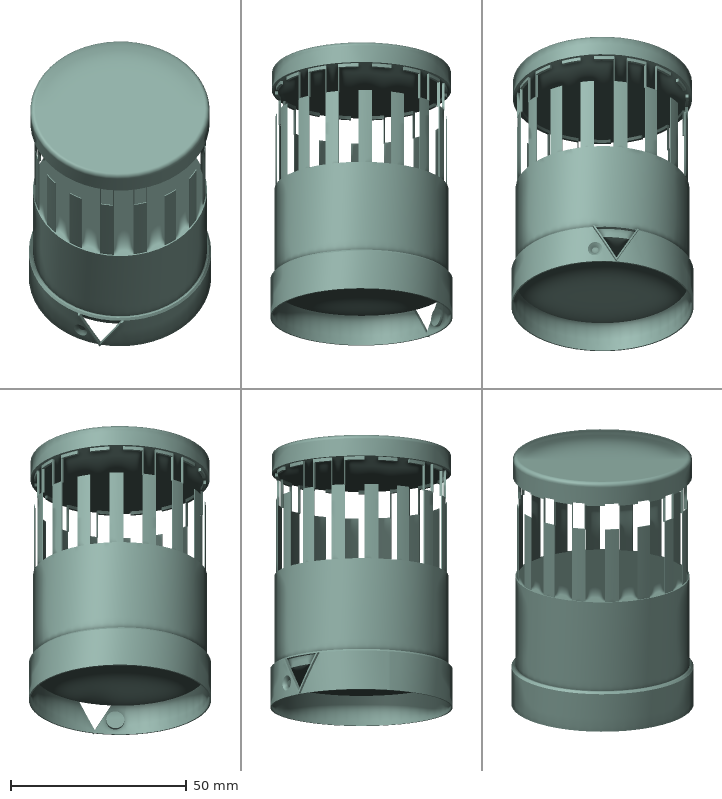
import cadquery as cq
import math

TOTAL_HEIGHT = 74.3
BASE_TOP = 11.8
BODY_TOP = 38.35
SLAT_TOP = 60.0
TOOTH_BOTTOM = 67.1
CAP_BOTTOM = 68.05

BASE_RADIUS = 26.0
BODY_RADIUS = 24.8
CAP_RADIUS = 25.55
SLAT_OUTER_RADIUS = 24.45
SLAT_INNER_RADIUS = 24.2
RIM_OUTER_RADIUS = 24.6
RIM_INNER_RADIUS = 23.8

BASE_CHAMFER = 0.6
CAP_FILLET = 1.3

SKIRT_INNER_RADIUS = 25.55
BODY_BOTTOM = 8.55

SLAT_COUNT = 16
SLAT_PITCH = 360 / SLAT_COUNT
SLAT_WIDTH = 3.95
BAR_THICKNESS = 0.15
OVERLAP = 0.2

MARKER_ANGLE = -60.0
MARKER_HEIGHT = BASE_TOP - BASE_CHAMFER
MARKER_HALF_WIDTH = 6.6
MARKER_RADIUS = 26.75
MARKER_ARM = 0.45

DIMPLE_ANGLE = -73.2
DIMPLE_Z = 4.1
DIMPLE_RADIUS = 2.15
DIMPLE_FLOOR_RADIUS = 1.0
DIMPLE_DEPTH = 1.0
DIMPLE_BACKING = 0.45


def cylinder(radius, bottom, top):
    return cq.Workplane("XY").workplane(offset=bottom).circle(radius).extrude(top - bottom)


def ring(outer, inner, bottom, top):
    return cylinder(outer, bottom, top).cut(cylinder(inner, bottom, top))


def radial_block(angle, width, bottom, top, offset=0.0):
    """Block reaching outward from the axis, with an optional sideways offset."""
    block = cq.Workplane("XY").box(BASE_RADIUS, width, top - bottom, centered=(False, True, False))
    return block.translate((0, offset, bottom)).rotate((0, 0, 0), (0, 0, 1), angle)


def slat_angles():
    return [(index + 0.5) * SLAT_PITCH for index in range(SLAT_COUNT)]


def make_base():
    return cylinder(BASE_RADIUS, 0, BASE_TOP).faces(">Z").edges().chamfer(BASE_CHAMFER)


def make_cap():
    return cylinder(CAP_RADIUS, CAP_BOTTOM, TOTAL_HEIGHT).faces(">Z").edges().fillet(CAP_FILLET)


def make_slats():
    bottom = BODY_TOP - OVERLAP
    wall = ring(SLAT_OUTER_RADIUS, SLAT_INNER_RADIUS, bottom, SLAT_TOP)
    blocks = cq.Workplane("XY")
    for angle in slat_angles():
        blocks = blocks.add(radial_block(angle, SLAT_WIDTH, bottom, SLAT_TOP))
    return wall.intersect(blocks.combine())


def make_teeth():
    """Short rim below the cap, notched above every slat."""
    rim = ring(RIM_OUTER_RADIUS, RIM_INNER_RADIUS, TOOTH_BOTTOM, CAP_BOTTOM + OVERLAP)
    for angle in slat_angles():
        rim = rim.cut(radial_block(angle, SLAT_WIDTH, TOOTH_BOTTOM, CAP_BOTTOM))
    return rim


def make_bars():
    """Thin bars joining the cap to both edges of the two slats beside each diagonal."""
    bottom = SLAT_TOP - OVERLAP
    top = CAP_BOTTOM + OVERLAP
    side = (SLAT_WIDTH - BAR_THICKNESS) / 2
    blocks = cq.Workplane("XY")
    for diagonal in (45, 135, 225, 315):
        for angle in (diagonal - SLAT_PITCH / 2, diagonal + SLAT_PITCH / 2):
            for offset in (-side, side):
                blocks = blocks.union(radial_block(angle, BAR_THICKNESS, bottom, top, offset))
    return ring(RIM_OUTER_RADIUS, RIM_INNER_RADIUS, bottom, top).intersect(blocks)


def marker_triangle(inset):
    """Triangular prism pointing down; its sloping sides are moved in by inset."""
    slant = math.hypot(MARKER_HALF_WIDTH, MARKER_HEIGHT)
    side_inset = inset * slant / MARKER_HEIGHT
    apex = inset * slant / MARKER_HALF_WIDTH
    half_width = MARKER_HALF_WIDTH - side_inset
    outline = [(-half_width, MARKER_HEIGHT), (half_width, MARKER_HEIGHT), (0, apex)]
    prism = cq.Workplane("YZ").polyline(outline).close().extrude(MARKER_RADIUS)
    return prism.rotate((0, 0, 0), (0, 0, 1), MARKER_ANGLE)


def make_marker():
    shell = ring(MARKER_RADIUS, SKIRT_INNER_RADIUS, 0, MARKER_HEIGHT)
    return shell.intersect(marker_triangle(0))


def make_window():
    """Triangular opening through the skirt, between the marker arms."""
    skirt = ring(MARKER_RADIUS, SKIRT_INNER_RADIUS, 0, MARKER_HEIGHT)
    return skirt.intersect(marker_triangle(MARKER_ARM))


def on_dimple_axis(radius, inner_radius, depth):
    """Round solid starting at the base surface and running inward along the dimple axis."""
    angle = math.radians(DIMPLE_ANGLE)
    outward = cq.Vector(math.cos(angle), math.sin(angle), 0)
    mouth = outward * BASE_RADIUS + cq.Vector(0, 0, DIMPLE_Z)
    if radius == inner_radius:
        solid = cq.Solid.makeCylinder(radius, depth, mouth, outward * -1)
    else:
        solid = cq.Solid.makeCone(radius, inner_radius, depth, mouth, outward * -1)
    return cq.Workplane(obj=solid)


def make_dimple():
    return on_dimple_axis(DIMPLE_RADIUS, DIMPLE_FLOOR_RADIUS, DIMPLE_DEPTH)


def make_dimple_backing():
    """Boss behind the skirt that closes the dimple."""
    radius = DIMPLE_RADIUS + DIMPLE_BACKING
    boss = on_dimple_axis(radius, radius, DIMPLE_DEPTH + DIMPLE_BACKING)
    return boss.intersect(cylinder(SKIRT_INNER_RADIUS + OVERLAP, 0, BASE_TOP))


result = (
    make_base()
    .cut(cylinder(SKIRT_INNER_RADIUS, 0, MARKER_HEIGHT))
    .union(cylinder(BODY_RADIUS, BODY_BOTTOM, BODY_TOP))
    .union(make_cap())
    .union(make_slats())
    .union(make_teeth())
    .union(make_bars())
    .union(make_marker())
    .union(make_dimple_backing())
    .cut(make_window())
    .cut(make_dimple())
)